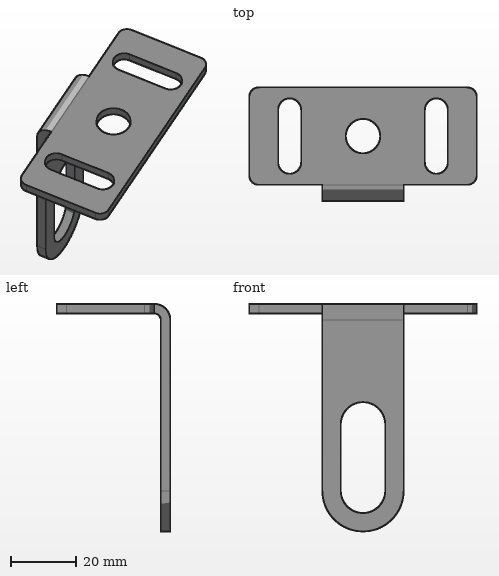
import cadquery as cq

width = 70.0
depth = 35.0
height = 70.0

thickness = 3.0
bend_outer_radius = 5.0
bend_inner_radius = bend_outer_radius - thickness

plate_depth = depth - bend_outer_radius
plate_corner_radius = 3.0
center_hole_diameter = 10.5
side_slot_width = 7.0
side_slot_length = 23.1
side_slot_offset = 22.55

tab_width = 25.05
tab_end_radius = tab_width / 2
tab_slot_width = 13.6
tab_slot_length = 34.0

tab_front = -bend_outer_radius
tab_back = tab_front + thickness
tab_end_center_z = tab_end_radius - height
tab_slot_center_z = tab_end_center_z + (tab_slot_length - tab_slot_width) / 2
plate_center_y = plate_depth / 2


def make_plate():
    """Horizontal plate with rounded corners, a central hole and two slots."""
    plate = (
        cq.Workplane("XY")
        .workplane(offset=-thickness)
        .center(0, plate_center_y)
        .rect(width, plate_depth)
        .extrude(thickness)
        .edges("|Z")
        .fillet(plate_corner_radius)
    )
    openings = (
        cq.Workplane("XY")
        .workplane(offset=-thickness)
        .center(0, plate_center_y)
        .circle(center_hole_diameter / 2)
        .pushPoints([(-side_slot_offset, 0), (side_slot_offset, 0)])
        .slot2D(side_slot_length, side_slot_width, 90)
        .extrude(thickness)
    )
    return plate.cut(openings)


def make_bend():
    """Quarter-round bend joining the plate edge to the tab."""
    bend_section = (
        cq.Workplane("YZ")
        .moveTo(0, 0)
        .radiusArc((tab_front, -bend_outer_radius), -bend_outer_radius)
        .lineTo(tab_back, -bend_outer_radius)
        .radiusArc((0, -thickness), bend_inner_radius)
        .close()
    )
    return bend_section.extrude(tab_width / 2, both=True)


def make_tab():
    """Vertical tab with a round lower end and a long slot."""
    tab = (
        cq.Workplane("XZ", origin=(0, tab_back, 0))
        .moveTo(-tab_width / 2, -bend_outer_radius)
        .lineTo(tab_width / 2, -bend_outer_radius)
        .lineTo(tab_width / 2, tab_end_center_z)
        .threePointArc((0, -height), (-tab_width / 2, tab_end_center_z))
        .close()
        .extrude(thickness)
    )
    slot = (
        cq.Workplane("XZ", origin=(0, tab_back, tab_slot_center_z))
        .slot2D(tab_slot_length, tab_slot_width, 90)
        .extrude(thickness)
    )
    return tab.cut(slot)


result = make_plate().union(make_bend()).union(make_tab())